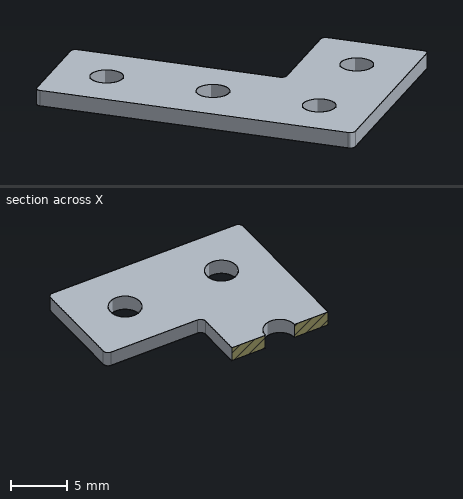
import cadquery as cq

pitch = 10.0
long_leg_cells = 3
short_leg_cells = 2
thickness = 1.5
hole_diameter = 3.0
corner_radius = 0.5

length = long_leg_cells * pitch
width = short_leg_cells * pitch


def make_plate():
    """L-shaped plate with every vertical edge rounded, inner corner included."""
    long_leg = cq.Workplane("XY").box(length, pitch, thickness, centered=False)
    short_leg = (
        cq.Workplane("XY")
        .box(pitch, width, thickness, centered=False)
        .translate((length - pitch, 0, 0))
    )
    return long_leg.union(short_leg).clean().edges("|Z").fillet(corner_radius)


def hole_centres():
    """Centres of the grid cells along both legs; the corner cell is shared."""
    half = pitch / 2
    along_x = [(half + i * pitch, half) for i in range(long_leg_cells)]
    along_y = [(length - half, half + j * pitch) for j in range(1, short_leg_cells)]
    return along_x + along_y


def make_holes():
    """Cylinders that cut the through holes."""
    return (
        cq.Workplane("XY")
        .pushPoints(hole_centres())
        .circle(hole_diameter / 2)
        .extrude(thickness)
    )


result = make_plate().cut(make_holes())